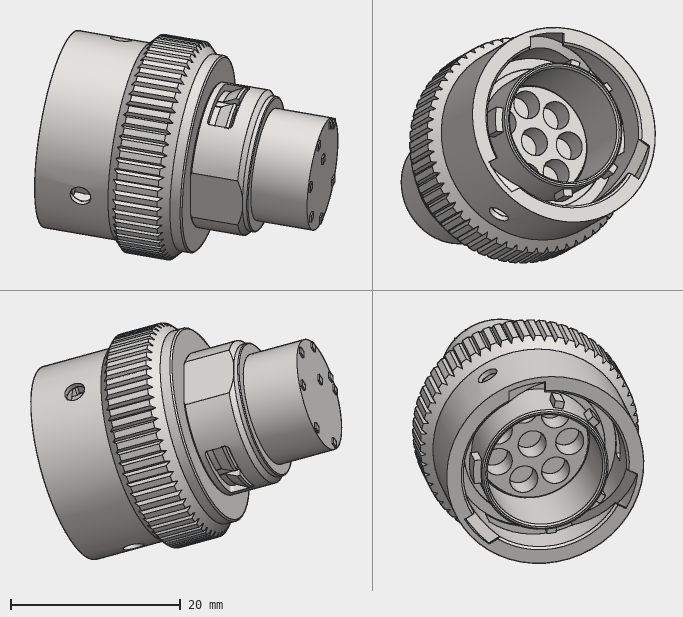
import cadquery as cq
import math

total_length = 32.1
top_angle = 90.0

ring_radius = 11.797
knurl_radius = 13.05
knurl_start, knurl_end = 10.25, 15.3
ring_end = 18.0
ring_edge_chamfer = 0.2
lip_radius = 9.775
lip_chamfer = 0.3
ring_floor = 7.22

knurl_count = 60
knurl_depth = 0.48
knurl_half_width = 0.3
knurl_phase = -1.8

track_count = 3
track_radius = 11.15
entry_width = 4.33
detent_diameter = 2.5
detent_x = 5.62
cavity_overlap = 1.3
track_slope = 0.64
track_start_x = 1.7
track_overrun = 7.0
entry_ramp_front = 0.32

tube_radius = 7.56
tube_chamfer = 0.2
bore_radius = 6.918
mouth_chamfer = 0.22
insert_radius = 6.725
insert_face = 8.5
insert_height = 0.32
key_radius = 8.45
key_front = 0.9
key_length = 2.57
shoulder_x = 6.93
key_width = 1.12
wide_key_width = 2.92
key_angles = (76.8, 41.8, -33.0, -83.4)
wide_key_angle = 180.0

contact_count = 7
contact_diameter = 3.35
contact_circle_radius = 4.5
contact_depth = 3.2

body_radius = 8.7
body_edge_chamfer = 0.15
flat_distance = 8.05
flange_radius = 8.105
flange_start, flange_end = 24.4, 25.05
flange_chamfer = 0.13
sleeve_radius = 6.725
sleeve_end = 31.9

window_start, window_end = 18.9, 21.95
window_width = 8.1
window_corner = 0.42
window_floor_radius = 7.8
ramp_start, ramp_top, ramp_end = 19.65, 21.2, 21.57
ramp_radius = 8.65
window_gap = 0.95
window_gap_radius = 7.7

pad_size = 0.9
pad_centers = (
    (4.5, 4.17), (3.2, 5.15), (-2.0, 5.75), (-5.5, 2.18),
    (-5.1, -2.55), (-0.93, -5.87), (4.3, -4.15), (0.0, 2.25),
)


def revolved(profile):
    """Turn a closed list of (x, radius) points about the X axis."""
    outline = [(x, -radius) for x, radius in profile]
    return cq.Workplane("XZ").polyline(outline).close().revolve(360, (0, 0, 0), (1, 0, 0))


def turned(shape, angle):
    """Turn a shape built at +Z so that it sits at the given polar angle."""
    return shape.rotate((0, 0, 0), (1, 0, 0), top_angle - angle)


def block(x_start, x_end, y_start, y_end, z_start, z_end):
    size = (x_end - x_start, y_end - y_start, z_end - z_start)
    return cq.Workplane("XY").box(*size, centered=False).translate((x_start, y_start, z_start))


def turned_body():
    """Solid outside form with the annular cavity and the stepped front bore."""
    collar_rise = knurl_radius - ring_radius
    body_front = ring_end + body_edge_chamfer
    body_taper = body_radius - flange_radius
    return revolved([
        (insert_face, 0),
        (insert_face, insert_radius),
        (insert_face + insert_height, insert_radius),
        (insert_face + insert_height, bore_radius),
        (mouth_chamfer, bore_radius),
        (0, bore_radius + mouth_chamfer),
        (0, tube_radius - tube_chamfer),
        (tube_chamfer, tube_radius),
        (shoulder_x, tube_radius),
        (shoulder_x, key_radius),
        (ring_floor, key_radius),
        (ring_floor, lip_radius),
        (lip_chamfer, lip_radius),
        (0, lip_radius + lip_chamfer),
        (0, ring_radius),
        (knurl_start - collar_rise, ring_radius),
        (knurl_start, knurl_radius),
        (knurl_end, knurl_radius),
        (knurl_end + collar_rise, ring_radius),
        (ring_end - ring_edge_chamfer, ring_radius),
        (ring_end, ring_radius - ring_edge_chamfer),
        (ring_end, body_radius - body_edge_chamfer),
        (body_front, body_radius),
        (flange_start - body_taper, body_radius),
        (flange_start, flange_radius),
        (flange_end - flange_chamfer, flange_radius),
        (flange_end, flange_radius - flange_chamfer),
        (flange_end, sleeve_radius),
        (sleeve_end, sleeve_radius),
        (sleeve_end, 0),
    ])


def knurl_cutter():
    """V grooves along the knurled band."""
    root = knurl_radius - knurl_depth
    top = knurl_radius + knurl_depth
    top_half_width = knurl_half_width * (top - root) / knurl_depth
    groove_start = knurl_start - 2 * knurl_depth
    groove = (
        cq.Workplane("YZ", origin=(groove_start, 0, 0))
        .polyline([(0, root), (top_half_width, top), (-top_half_width, top)])
        .close()
        .extrude(knurl_end - knurl_start + 4 * knurl_depth)
    )
    step = 360 / knurl_count
    grooves = [turned(groove, knurl_phase + i * step).val() for i in range(knurl_count)]
    return cq.Workplane(cq.Compound.makeCompound(grooves))


def track_cutter():
    """One bayonet track: entry slot at the top, helical ramp, level run and detent hole at angle 0."""
    inner_radius = lip_radius - cavity_overlap
    mean_radius = (inner_radius + track_radius) / 2
    section_width = track_radius - inner_radius
    half_width = detent_diameter / 2

    rise = detent_x - track_start_x
    pitch = 2 * math.pi * mean_radius * track_slope
    helix = cq.Wire.makeHelix(pitch, rise, mean_radius)
    ramp = (
        cq.Workplane("XZ")
        .center(mean_radius, 0)
        .rect(section_width, detent_diameter)
        .sweep(cq.Workplane(helix), isFrenet=True)
        .rotate((0, 0, 0), (0, 1, 0), 90)
        .rotate((0, 0, 0), (1, 0, 0), 270 - top_angle)
        .translate((track_start_x, 0, 0))
    )

    level_angle = top_angle - 360 * rise / pitch + track_overrun
    level_run = (
        cq.Workplane("XY")
        .center(detent_x, -mean_radius)
        .rect(detent_diameter, section_width)
        .revolve(level_angle, (-detent_x, mean_radius, 0), (-detent_x - 0.32, mean_radius, 0))
        .rotate((0, 0, 0), (1, 0, 0), track_overrun)
    )

    entry_depth = track_start_x + half_width
    limit = cq.Workplane("YZ").circle(track_radius).extrude(entry_depth)
    entry = (
        cq.Workplane("XY", origin=(0, 0, inner_radius))
        .polyline([(0, 0), (0, entry_width), (entry_ramp_front, entry_width), (entry_depth, 0)])
        .close()
        .extrude(ring_radius)
        .intersect(limit)
    )

    bore = cq.Workplane("YZ").circle(inner_radius).extrude(ring_end)
    detent = (
        cq.Workplane("XZ").center(detent_x, 0).circle(half_width).extrude(knurl_radius).cut(bore)
    )
    return ramp, level_run, entry, detent


def key(angle, width):
    outer = cq.Workplane("YZ").circle(key_radius).extrude(total_length)
    root = (tube_radius + bore_radius) / 2
    bar = block(key_front, key_front + key_length, -width / 2, width / 2, root, key_radius)
    return turned(bar.intersect(outer), angle)


def contact_cutter():
    plane = cq.Workplane("YZ", origin=(insert_face, 0, 0))
    return (
        plane.polarArray(contact_circle_radius, 180, 360, contact_count)
        .circle(contact_diameter / 2)
        .extrude(contact_depth)
        .union(plane.circle(contact_diameter / 2).extrude(contact_depth))
    )


def window_cutter():
    """One latch window on top: rounded recess that leaves two ramps beside a central gap."""
    outline = (
        block(window_start, window_end, -window_width / 2, window_width / 2, 0, ring_radius)
        .edges("|Z")
        .fillet(window_corner)
    )
    kept = revolved([
        (window_start, 0),
        (window_start, window_floor_radius),
        (ramp_start, window_floor_radius),
        (ramp_top, ramp_radius),
        (ramp_end, ramp_radius),
        (ramp_end, window_floor_radius),
        (window_end, window_floor_radius),
        (window_end, 0),
    ])
    core = cq.Workplane("YZ").circle(window_gap_radius).extrude(total_length)
    gap = block(window_start, window_end, -window_gap / 2, window_gap / 2, 0, ring_radius)
    return outline.cut(kept).union(gap.cut(core))


def flat_cutter(side):
    y_edges = sorted((side * flat_distance, side * ring_radius))
    return block(ring_end, flange_start, *y_edges, -ring_radius, ring_radius)


result = turned_body().cut(knurl_cutter())

for i in range(track_count):
    for cutter in track_cutter():
        result = result.cut(cutter.rotate((0, 0, 0), (1, 0, 0), i * 360 / track_count))

for angle in key_angles:
    result = result.union(key(angle, key_width))
result = result.union(key(wide_key_angle, wide_key_width))

result = result.cut(contact_cutter())

for side in (1, -1):
    result = result.cut(flat_cutter(side))
    result = result.cut(window_cutter().rotate((0, 0, 0), (1, 0, 0), 90 - 90 * side))

for y, z in pad_centers:
    half = pad_size / 2
    result = result.union(block(sleeve_end, total_length, y - half, y + half, z - half, z + half))